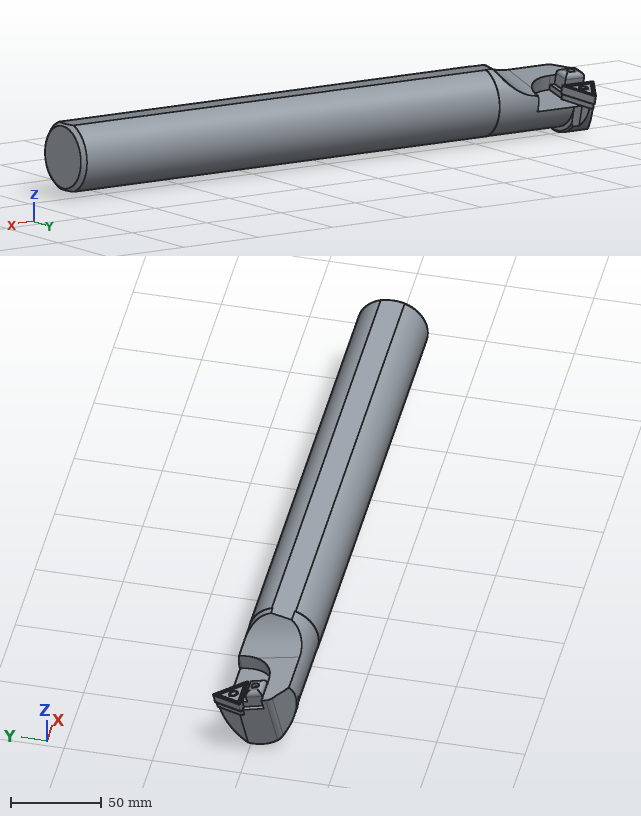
import cadquery as cq
import math

LENGTH = 350.0
SHANK_RADIUS = 20.0
SHANK_START = 70.0
FLAT_DEPTH = 1.2
FLAT_HEIGHT = SHANK_RADIUS - FLAT_DEPTH
END_CHAMFER = 2.5
NECK_STEP = 0.18
NECK_RADIUS = SHANK_RADIUS - NECK_STEP

HEAD_FRONT = 1.5
HEAD_END = 19.2
HEAD_RADIUS = 21.7
HEAD_Y = 1.82
HEAD_Z = -1.12
HEAD_CHAMFER = 1.0

TILT = 14.0

BEYOND = 70.0
HALF_TURN = math.sqrt(0.5)

RELIEF_W = 7.7
RELIEF_FLAT_END = 40.5
RELIEF_RADIUS = 31.5
RELIEF_SKEW = 3.0

INSERT_SIDE = 22.0
INSERT_HALF_ANGLE = 30.0
INSERT_THICKNESS = 5.0
INSERT_NOSE = 0.8
INSERT_HOLE_RADIUS = 2.55
INSERT_TOP_W = 7.0
INSERT_TIP_V = 26.0
RIM_WIDTH = 0.88
GROOVE_WIDTH = 1.0
GROOVE_DEPTH = 0.5
SHIM_THICKNESS = 3.0
SHIM_INSET = 0.5
PIN_RADIUS = 1.8

POCKET_BACK_V = -4.5
POCKET_TURN_X = 20.5
POCKET_RADIUS = 23.0
LEDGE_END = 19.5

FRONT_FACE_V = 10.0
BACK_CORNER_V = -9.0
BACK_ANGLE = 41.0
BACK_ROUND = 4.5

CLAMP_WIDTH = 12.5
CLAMP_BASE_TOP_W = 5.5
KNOB_FRONT_V = 5.0
KNOB_TOP_W = 11.5
KNOB_ROUND = 2.8
SOCKET_RADIUS = 2.0
SOCKET_DEPTH = 2.0

INRADIUS = INSERT_SIDE * math.sqrt(3) / 6
INSERT_X = INSERT_SIDE / 2 - INSERT_NOSE * (math.sqrt(3) - 1)
INSERT_V = INSERT_TIP_V + INSERT_NOSE - 2 * INRADIUS
BASE_V = INSERT_V - INRADIUS
SEAT_W = INSERT_TOP_W - INSERT_THICKNESS
FLOOR_W = SEAT_W - SHIM_THICKNESS


def tilted(w=0.0):
    """Workplane with local axes x and v, at height w along the insert's normal."""
    angle = math.radians(TILT)
    normal = cq.Vector(0, math.sin(angle), math.cos(angle))
    return cq.Workplane(cq.Plane(origin=normal * w, xDir=(1, 0, 0), normal=normal))


ALONG_NORMAL = cq.selectors.ParallelDirSelector(tilted().plane.zDir)


def rod(radius, start, end, y=0.0, z=0.0):
    return cq.Workplane("YZ", origin=(start, y, z)).circle(radius).extrude(end - start)


def triangle(w, height, inset=0.0):
    """Triangular plate on height w, its sides moved inwards by inset."""
    half = (INRADIUS - inset) * math.sqrt(3)
    points = [(-half, inset - INRADIUS), (half, inset - INRADIUS), (0, 2 * (INRADIUS - inset))]
    return tilted(w).center(INSERT_X, INSERT_V).polyline(points).close().extrude(height)


def disc(w, height, radius, x, v):
    return tilted(w).center(x, v).circle(radius).extrude(height)


def make_bar():
    """Shank with a flat above and below, then the neck and head, which share only the top flat."""
    shank = rod(SHANK_RADIUS, SHANK_START, LENGTH).faces(">X").chamfer(END_CHAMFER)
    slab = cq.Workplane().box(LENGTH, BEYOND, BEYOND, centered=(False, True, False))
    shank = shank.cut(slab.translate((0, 0, -FLAT_HEIGHT - BEYOND)))
    neck = rod(NECK_RADIUS, HEAD_FRONT, SHANK_START)
    head = rod(HEAD_RADIUS, HEAD_FRONT, HEAD_END, HEAD_Y, HEAD_Z).faces(">X").chamfer(HEAD_CHAMFER)
    bar = shank.union(neck).union(head)
    return bar.cut(slab.translate((0, 0, FLAT_HEIGHT)))


def make_relief():
    """Flat on the head that sweeps up and out of the bar through a slightly skewed round."""
    top = RELIEF_W + RELIEF_RADIUS
    turn = HALF_TURN * RELIEF_RADIUS
    profile = (
        cq.Workplane("XZ", origin=(0, BEYOND / 2, 0))
        .moveTo(-BEYOND, RELIEF_W)
        .lineTo(RELIEF_FLAT_END, RELIEF_W)
        .threePointArc((RELIEF_FLAT_END + turn, top - turn), (RELIEF_FLAT_END + RELIEF_RADIUS, top))
        .lineTo(-BEYOND, top)
        .close()
    )
    pivot = (RELIEF_FLAT_END, 0, 0)
    skewed = profile.extrude(BEYOND).rotate(pivot, (RELIEF_FLAT_END, 0, 1), -RELIEF_SKEW)
    return skewed.rotate((0, 0, 0), (1, 0, 0), -TILT)


def make_pocket():
    """Floor under the shim, with a back wall that turns through a quarter round to the side."""
    centre_v = POCKET_BACK_V + POCKET_RADIUS
    end_x = POCKET_TURN_X + POCKET_RADIUS
    turn = HALF_TURN * POCKET_RADIUS
    return (
        tilted(FLOOR_W)
        .moveTo(-BEYOND, POCKET_BACK_V)
        .lineTo(POCKET_TURN_X, POCKET_BACK_V)
        .threePointArc((POCKET_TURN_X + turn, centre_v - turn), (end_x, centre_v))
        .lineTo(end_x, BEYOND)
        .lineTo(-BEYOND, BEYOND)
        .close()
        .extrude(BEYOND)
    )


def make_head_outline():
    """Prism with the front face, a flank under each side of the insert's tip and a sloping back flank."""
    slope = math.tan(math.radians(INSERT_HALF_ANGLE))
    flank_end_x = HEAD_FRONT + (NECK_RADIUS - FRONT_FACE_V) * slope
    tip_v = FRONT_FACE_V + (INSERT_X - HEAD_FRONT) / slope
    back_v = BACK_CORNER_V - BEYOND * math.tan(math.radians(BACK_ANGLE))
    outline = (
        tilted(-BEYOND)
        .moveTo(HEAD_FRONT, BACK_CORNER_V)
        .lineTo(HEAD_FRONT, FRONT_FACE_V)
        .lineTo(INSERT_X, tip_v)
        .lineTo(2 * INSERT_X - flank_end_x, NECK_RADIUS)
        .lineTo(HEAD_END, NECK_RADIUS)
        .lineTo(HEAD_END, BEYOND)
        .lineTo(LENGTH + BEYOND, BEYOND)
        .lineTo(LENGTH + BEYOND, back_v)
        .lineTo(HEAD_FRONT + BEYOND, back_v)
        .close()
        .extrude(2 * BEYOND)
    )
    corner = cq.selectors.NearestToPointSelector(
        tilted().plane.toWorldCoords((HEAD_FRONT, BACK_CORNER_V, 0)).toTuple()
    )
    return outline.edges(corner).fillet(BACK_ROUND)


def make_ledge():
    """Raised floor under the clamp, level with the insert seat."""
    return (
        tilted(FLOOR_W)
        .moveTo(HEAD_FRONT, POCKET_BACK_V)
        .lineTo(LEDGE_END, POCKET_BACK_V)
        .lineTo(LEDGE_END, BASE_V)
        .lineTo(HEAD_FRONT, BASE_V)
        .close()
        .extrude(SEAT_W - FLOOR_W)
    )


def clamp_block(front_v, top_w):
    """Block on the ledge, from the back wall of the pocket to front_v."""
    depth = front_v - POCKET_BACK_V
    middle = tilted(SEAT_W).center(INSERT_X, POCKET_BACK_V + depth / 2)
    return middle.rect(CLAMP_WIDTH, depth).extrude(top_w - SEAT_W)


def make_clamp():
    knob = clamp_block(KNOB_FRONT_V, KNOB_TOP_W).faces(">Z").edges().fillet(KNOB_ROUND)
    socket_v = (KNOB_FRONT_V + POCKET_BACK_V) / 2
    socket = disc(KNOB_TOP_W - SOCKET_DEPTH, SOCKET_DEPTH, SOCKET_RADIUS, INSERT_X, socket_v)
    return knob.union(clamp_block(BASE_V, CLAMP_BASE_TOP_W)).cut(socket)


def make_holder():
    """Bar with its cuts, and the shim, locating pin and clamp that hold the insert."""
    holder = make_bar().intersect(make_head_outline()).cut(make_relief()).cut(make_pocket())
    shim = triangle(FLOOR_W, SHIM_THICKNESS, SHIM_INSET).edges(ALONG_NORMAL).fillet(INSERT_NOSE)
    pin = disc(FLOOR_W, INSERT_TOP_W - FLOOR_W, PIN_RADIUS, INSERT_X, INSERT_V)
    return holder.union(shim).union(pin).union(make_ledge()).union(make_clamp())


def make_insert():
    """Triangular insert with a groove round its top face and a hole for the locating pin."""
    insert = triangle(SEAT_W, INSERT_THICKNESS).edges(ALONG_NORMAL).fillet(INSERT_NOSE)
    groove_w = INSERT_TOP_W - GROOVE_DEPTH
    groove = triangle(groove_w, GROOVE_DEPTH, RIM_WIDTH).cut(
        triangle(groove_w, GROOVE_DEPTH, RIM_WIDTH + GROOVE_WIDTH)
    )
    hole = disc(SEAT_W, INSERT_THICKNESS, INSERT_HOLE_RADIUS, INSERT_X, INSERT_V)
    return insert.cut(groove).cut(hole)


holder = make_holder()
insert = make_insert()
result = cq.Compound.makeCompound([holder.val(), insert.val()])